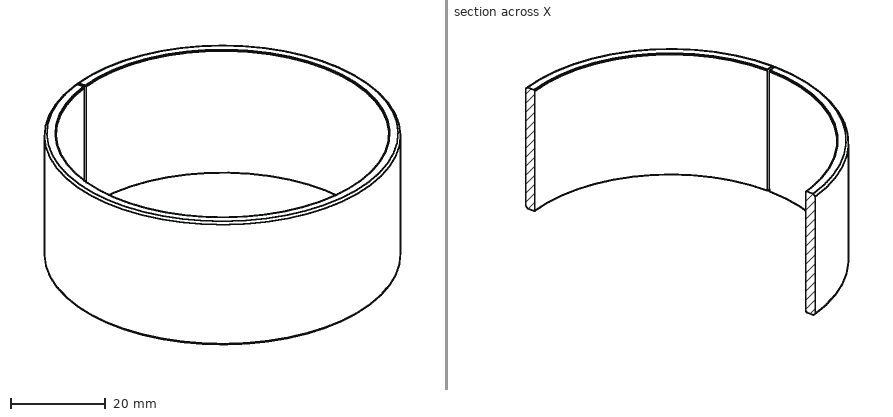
import cadquery as cq

outer_diameter = 75.0
wall = 2.5
height = 30.0
outer_chamfer = 0.5
inner_chamfer = 0.2
slit_width = 0.6

outer_radius = outer_diameter / 2
inner_radius = outer_radius - wall
half_height = height / 2

wall_section = (
    cq.Workplane("XZ")
    .moveTo(inner_radius + inner_chamfer, -half_height)
    .lineTo(outer_radius - outer_chamfer, -half_height)
    .lineTo(outer_radius, -half_height + outer_chamfer)
    .lineTo(outer_radius, half_height - outer_chamfer)
    .lineTo(outer_radius - outer_chamfer, half_height)
    .lineTo(inner_radius + inner_chamfer, half_height)
    .lineTo(inner_radius, half_height - inner_chamfer)
    .lineTo(inner_radius, -half_height + inner_chamfer)
    .close()
)
sleeve = wall_section.revolve(360, (0, 0, 0), (0, 1, 0))

slit = (
    cq.Workplane("XY")
    .box(outer_radius, slit_width, height, centered=(False, False, True))
    .translate((-outer_radius, 0, 0))
)

result = sleeve.cut(slit)